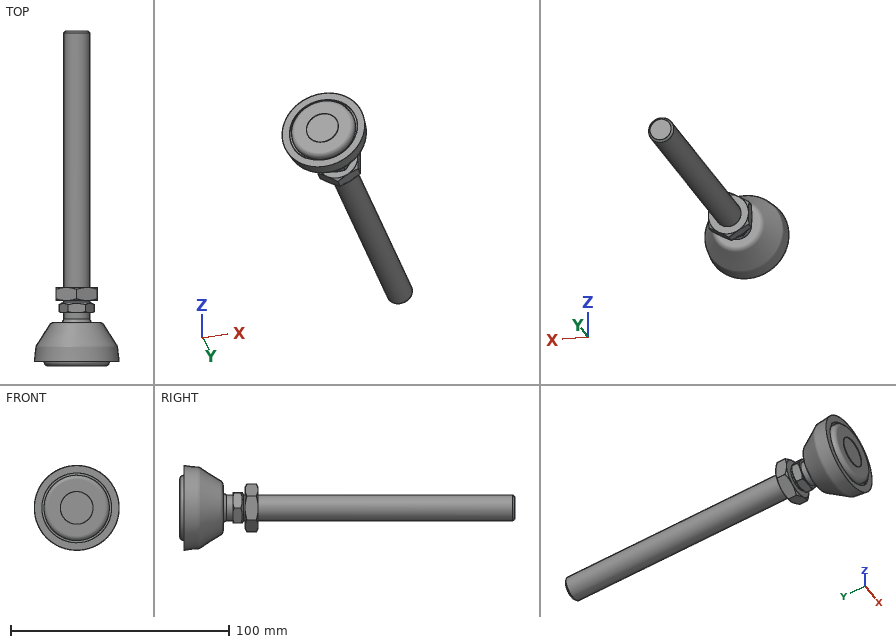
import cadquery as cq
import math


foot_radius = 19.5
foot_base_y = 2.0
side_top_radius = 18.7
side_top_y = 9.0
foot_top_radius = 11.7
foot_top_y = 20.0
shoulder_round = 1.8
crown_round = 2.4

sole_radius = 15.0
sole_round = 2.0
groove_outer_radius = 16.0
groove_depth = 1.0
recess_radius = 7.5
recess_depth = 0.3

spindle_radius = 6.0
overall_length = 153.7
rod_end_chamfer = 1.0
flare_radius = 6.7
flare_height = 1.5
collar_across_flats = 14.0
collar_turn = 0
collar_bottom_y = 24.5
collar_top_y = 29.3
collar_lower_face_radius = 7.3

nut_across_flats = 19.0
nut_turn = 30
nut_height = 6.0
nut_bottom_y = 30.0

hex_chamfer_angle = 30.0

match_tolerance = 0.01


def revolve_about_y(profile):
    """Turn a closed (radius, Y) outline in the XY plane about the Y axis."""
    return profile.close().revolve(360, (0, 0, 0), (0, 1, 0))


def chamfered_hexagon(across_flats, start_y, end_y, start_face_radius, end_face_radius, turn):
    """Hexagonal prism along Y, each end turned to a cone that starts at its round face."""
    corner_radius = across_flats / 2 / math.cos(math.pi / 6)
    chamfer_slope = math.tan(math.radians(hex_chamfer_angle))
    start_chamfer = (corner_radius - start_face_radius) * chamfer_slope
    end_chamfer = (corner_radius - end_face_radius) * chamfer_slope
    prism = (
        cq.Workplane("XZ", origin=(0, start_y, 0))
        .polygon(6, 2 * corner_radius)
        .extrude(start_y - end_y)
        .rotate((0, 0, 0), (0, 1, 0), turn)
    )
    turned_blank = revolve_about_y(
        cq.Workplane("XY")
        .moveTo(0, start_y)
        .lineTo(start_face_radius, start_y)
        .lineTo(corner_radius, start_y + start_chamfer)
        .lineTo(corner_radius, end_y - end_chamfer)
        .lineTo(end_face_radius, end_y)
        .lineTo(0, end_y)
    )
    return prism.intersect(turned_blank)


def circle_edge_at(y, radius):
    """Test that is true only for the circular edge of this radius centred at Y = y."""
    return lambda edge: (
        abs(edge.Center().y - y) < match_tolerance
        and abs(edge.radius() - radius) < match_tolerance
    )


def make_foot():
    groove_floor_y = foot_base_y + groove_depth
    outline = (
        cq.Workplane("XY")
        .moveTo(0, recess_depth)
        .lineTo(recess_radius, recess_depth)
        .lineTo(recess_radius, 0)
        .lineTo(sole_radius - sole_round, 0)
        .radiusArc((sole_radius, sole_round), -sole_round)
        .lineTo(sole_radius, groove_floor_y)
        .lineTo(groove_outer_radius, groove_floor_y)
        .lineTo(groove_outer_radius, foot_base_y)
        .lineTo(foot_radius, foot_base_y)
        .lineTo(side_top_radius, side_top_y)
        .lineTo(foot_top_radius, foot_top_y)
        .lineTo(0, foot_top_y)
    )
    foot = revolve_about_y(outline)
    circles = foot.edges("%CIRCLE")
    foot = circles.filter(circle_edge_at(side_top_y, side_top_radius)).fillet(shoulder_round)
    circles = foot.edges("%CIRCLE")
    return circles.filter(circle_edge_at(foot_top_y, foot_top_radius)).fillet(crown_round)


def make_spindle():
    """Rod with a chamfered end, a hexagonal collar and a flared neck seated on the foot."""
    rod = revolve_about_y(
        cq.Workplane("XY")
        .moveTo(0, foot_top_y)
        .lineTo(flare_radius, foot_top_y)
        .lineTo(spindle_radius, foot_top_y + flare_height)
        .lineTo(spindle_radius, overall_length - rod_end_chamfer)
        .lineTo(spindle_radius - rod_end_chamfer, overall_length)
        .lineTo(0, overall_length)
    )
    collar = chamfered_hexagon(
        collar_across_flats,
        collar_bottom_y,
        collar_top_y,
        collar_lower_face_radius,
        spindle_radius,
        collar_turn,
    )
    return rod.union(collar)


def make_nut():
    nut_top_y = nut_bottom_y + nut_height
    face_radius = nut_across_flats / 2
    blank = chamfered_hexagon(
        nut_across_flats,
        nut_bottom_y,
        nut_top_y,
        face_radius,
        face_radius,
        nut_turn,
    )
    bore = (
        cq.Workplane("XZ", origin=(0, nut_bottom_y, 0))
        .circle(spindle_radius)
        .extrude(-nut_height)
    )
    return blank.cut(bore)


foot = make_foot()
spindle = make_spindle()
nut = make_nut()

result = cq.Compound.makeCompound([foot.val(), spindle.val(), nut.val()])